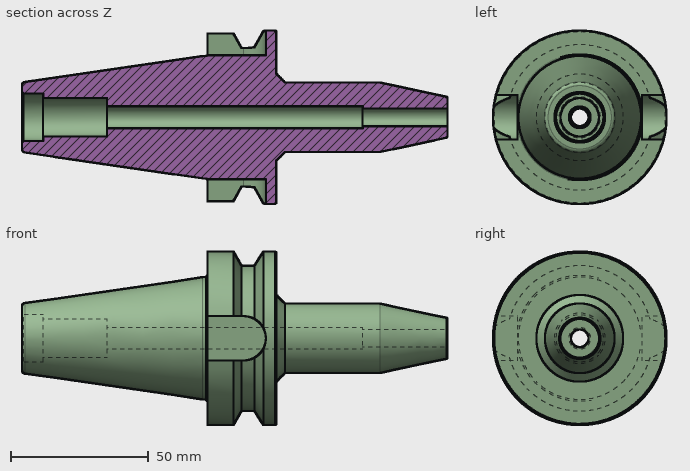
import cadquery as cq

total_length = 154.4
gauge_x = 65.5
flange_start_x = 67.3
flange_end_x = 92.3
groove_x = (76.7, 79.7, 84.3, 87.5)
nose_start_x = 129.9

gauge_diameter = 44.5
flange_diameter = 63.0
groove_diameter = 52.8
nose_diameter = 25.3
tip_diameter = 15.0

taper_ratio = 7 / 24
small_end_diameter = gauge_diameter - taper_ratio * gauge_x

small_end_fillet = 1.4
collar_fillet = 0.6
flange_chamfer = 0.5
neck_chamfer = 3.1
tip_chamfer = 0.5

slot_width = 16.0
slot_floor_y = 22.5
slot_start_x = flange_start_x - collar_fillet
slot_end_x = 88.5

mouth_diameter = 18.4
pilot_diameter = 17.1
pilot_depth = 7.7
thread_diameter = 13.9
thread_depth = 30.9
channel_diameter = 7.9
through_diameter = 6.3
channel_depth = 123.5


def make_body():
    """Revolve the taper, flange, neck and nose around the X axis."""
    flange_radius = flange_diameter / 2
    groove_radius = groove_diameter / 2
    nose_radius = nose_diameter / 2
    tip_radius = tip_diameter / 2
    profile = [
        (0, 0),
        (0, small_end_diameter / 2),
        (gauge_x, gauge_diameter / 2),
        (flange_start_x, gauge_diameter / 2),
        (flange_start_x, flange_radius),
        (groove_x[0], flange_radius),
        (groove_x[1], groove_radius),
        (groove_x[2], groove_radius),
        (groove_x[3], flange_radius),
        (flange_end_x - flange_chamfer, flange_radius),
        (flange_end_x, flange_radius - flange_chamfer),
        (flange_end_x, nose_radius + neck_chamfer),
        (flange_end_x + neck_chamfer, nose_radius),
        (nose_start_x, nose_radius),
        (total_length - tip_chamfer, tip_radius),
        (total_length, tip_radius - tip_chamfer),
        (total_length, 0),
    ]
    body = cq.Workplane("XY").polyline(profile).close().revolve(360, (0, 0), (1, 0))
    body = body.faces("<X").edges().fillet(small_end_fillet)
    collar_corner = cq.selectors.RadiusNthSelector(0)
    flange_face_edges = cq.selectors.BoxSelector(
        (flange_start_x - collar_fillet, -flange_diameter, -flange_diameter),
        (flange_start_x + collar_fillet, flange_diameter, flange_diameter),
    )
    return body.edges("%CIRCLE").edges(flange_face_edges).edges(collar_corner).fillet(collar_fillet)


def make_slot(side):
    """Round-ended key slot; side is +1 for +Y and -1 for -Y."""
    end_radius = slot_width / 2
    center_x = slot_end_x - end_radius
    depth = flange_diameter / 2 - slot_floor_y
    outline = (
        cq.Workplane("XZ", origin=(0, -side * slot_floor_y, 0))
        .moveTo(slot_start_x, -end_radius)
        .lineTo(center_x, -end_radius)
        .threePointArc((slot_end_x, 0), (center_x, end_radius))
        .lineTo(slot_start_x, end_radius)
        .close()
    )
    return outline.extrude(side * depth)


def make_bore():
    """Stepped through bore with a chamfered mouth."""
    pilot_radius = pilot_diameter / 2
    mouth_radius = mouth_diameter / 2
    profile = [
        (0, 0),
        (0, mouth_radius),
        (mouth_radius - pilot_radius, pilot_radius),
        (pilot_depth, pilot_radius),
        (pilot_depth, thread_diameter / 2),
        (thread_depth, thread_diameter / 2),
        (thread_depth, channel_diameter / 2),
        (channel_depth, channel_diameter / 2),
        (channel_depth, through_diameter / 2),
        (total_length, through_diameter / 2),
        (total_length, 0),
    ]
    return cq.Workplane("XY").polyline(profile).close().revolve(360, (0, 0), (1, 0))


result = make_body().cut(make_bore())
for slot_side in (1, -1):
    result = result.cut(make_slot(slot_side))